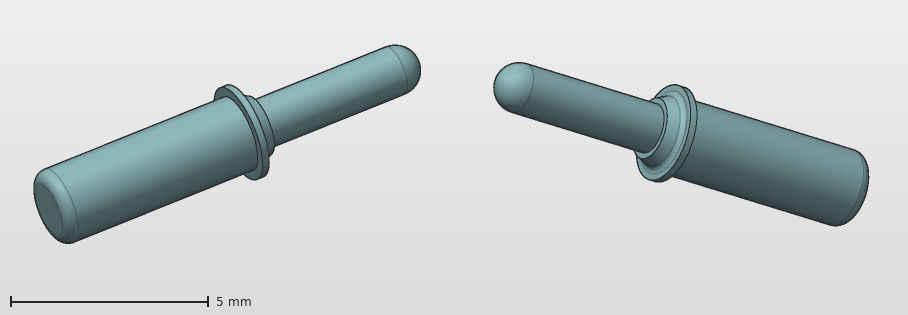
import cadquery as cq
import math

total_length = 10.7
tail_diameter = 2.0
tail_length = 5.5
tail_fillet = 0.3
flange_diameter = 2.5
flange_thickness = 0.19
shoulder_length = 0.41
shoulder_base_diameter = 1.95
shoulder_top_diameter = 1.59
shoulder_fillet = 0.17
pin_diameter = 1.3

tail_radius = tail_diameter / 2
flange_radius = flange_diameter / 2
shoulder_base_radius = shoulder_base_diameter / 2
shoulder_top_radius = shoulder_top_diameter / 2
pin_radius = pin_diameter / 2

tail_end = -total_length / 2
flange_back = tail_end + tail_length
flange_front = flange_back + flange_thickness
shoulder_front = flange_front + shoulder_length
tip = total_length / 2
dome_start = tip - pin_radius

cone_angle = math.atan2(shoulder_base_radius - shoulder_top_radius, shoulder_length)
tangent_length = shoulder_fillet * math.tan((math.pi / 2 - cone_angle) / 2)
fillet_on_flange = (shoulder_base_radius + tangent_length, flange_front)
fillet_on_cone = (
    shoulder_base_radius - tangent_length * math.sin(cone_angle),
    flange_front + tangent_length * math.cos(cone_angle),
)

half_section = (
    cq.Workplane("XY").transformed(rotate=(0, -90, 0))
    .moveTo(0, tail_end)
    .lineTo(tail_radius - tail_fillet, tail_end)
    .tangentArcPoint((tail_radius, tail_end + tail_fillet), relative=False)
    .lineTo(tail_radius, flange_back)
    .lineTo(flange_radius, flange_back)
    .lineTo(flange_radius, flange_front)
    .lineTo(*fillet_on_flange)
    .tangentArcPoint(fillet_on_cone, relative=False)
    .lineTo(shoulder_top_radius, shoulder_front)
    .lineTo(pin_radius, shoulder_front)
    .lineTo(pin_radius, dome_start)
    .tangentArcPoint((0, tip), relative=False)
    .close()
)

result = half_section.revolve(360, (0, 0, 0), (0, 1, 0))